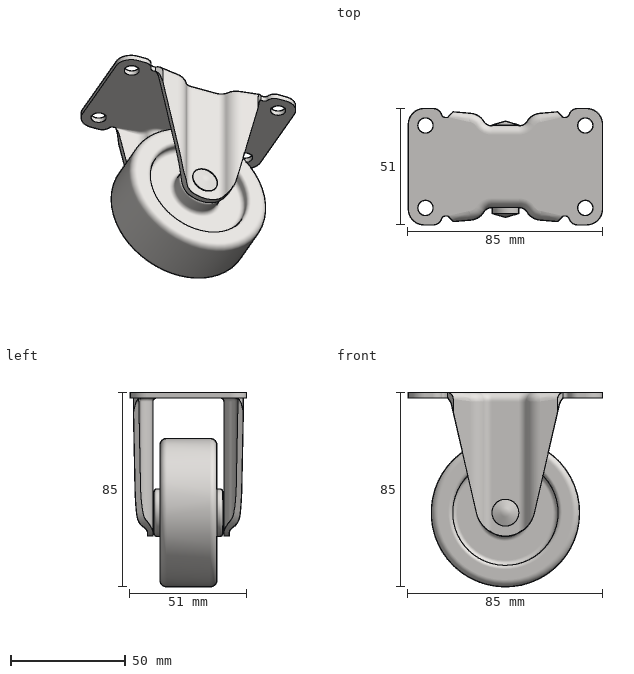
import cadquery as cq
import math


PLATE_LENGTH = 85.0
PLATE_WIDTH = 51.0
SHEET = 2.5
CORNER_RADIUS = 7.05
EAR_RADIUS = 4.0
EAR_END_X = 31.6
RELIEF_RADIUS = 1.5
SCREW_X = 34.9
SCREW_Y = 18.0
SCREW_HOLE_DIAMETER = 6.55

WEB_HALF_WIDTH = 6.0
WEB_INNER_Y = 15.5
WEB_OUTER_Y = WEB_INNER_Y + SHEET
HOLLOW_RADIUS = 4.0
SHOULDER_RADIUS = 7.5
ELBOW_ANGLE = 58.5
WING_ANGLE = 5.0
WING_LENGTH = 9.9

BEND_RADIUS = 4.0
WING_END_BEND_RADIUS = 2.6
LEG_DEPTH = 62.7
LEG_TIP_RADIUS = 13.0
LEG_TAPER_ANGLE = 13.0
FLARE_START_DEPTH = 5.4

AXLE_Z = -52.5
WHEEL_RADIUS = 32.5
WHEEL_WIDTH = 25.0
TREAD_FILLET = 3.0
RECESS_RADIUS = 23.0
RECESS_DEPTH = 5.0
RIM_FILLET = 1.8
FLOOR_FILLET = 2.0
HUB_RADIUS = 10.45
HUB_HALF_LENGTH = 15.05
HUB_EDGE_FILLET = 1.4
SELECT_MARGIN = 0.1

AXLE_RADIUS = 5.9
HEAD_SHOULDER_Y = -20.5
TAIL_SHOULDER_Y = 18.3
CONE_HEIGHT = 1.7


def polar(center, radius, angle):
    """Point at a radius and angle (degrees) from a center in plan."""
    turn = math.radians(angle)
    return (center[0] + radius * math.cos(turn), center[1] + radius * math.sin(turn))


HOLLOW_CENTER = (WEB_HALF_WIDTH, WEB_OUTER_Y + HOLLOW_RADIUS)
HOLLOW_END = ELBOW_ANGLE - 90.0
SHOULDER_CENTER = polar(HOLLOW_CENTER, HOLLOW_RADIUS + SHOULDER_RADIUS, HOLLOW_END)
SHOULDER_START = ELBOW_ANGLE + 90.0
WING_NORMAL = WING_ANGLE + 90.0
WING_START = polar(SHOULDER_CENTER, SHOULDER_RADIUS, WING_NORMAL)
WING_END = polar(WING_START, WING_LENGTH, WING_ANGLE)

FLAT_WEB_Y = WEB_OUTER_Y - BEND_RADIUS
FLAT_HOLLOW_RADIUS = HOLLOW_RADIUS + BEND_RADIUS
FLAT_SHOULDER_RADIUS = SHOULDER_RADIUS - BEND_RADIUS
FLAT_WING_START = polar(WING_START, -BEND_RADIUS, WING_NORMAL)
FLAT_WING_END = polar(WING_END, -WING_END_BEND_RADIUS, WING_NORMAL)


def axle_line_cylinder(radius, length):
    """Cylinder on the axle line, centered between the legs."""
    return cq.Workplane("XZ").center(0, AXLE_Z).circle(radius).extrude(length / 2, both=True).clean()


def mirror_quarters(quarter):
    """One quarter of the bracket joined with its three mirror images."""
    half = quarter.union(quarter.mirror("YZ"))
    return half.union(half.mirror("XZ"))


def vertical_plane(origin, angle):
    """Upright plane whose local X points along the given plan angle and local Y is up."""
    along = polar((0, 0), 1.0, angle)
    return cq.Plane(origin=(*origin, 0), xDir=(*along, 0), normal=(along[1], -along[0], 0))


def leg_section(plane, outer, inward, bend_radius):
    """Bend and wall of the sheet; inward is +1 or -1 along the local X of the plane."""
    inner_radius = bend_radius - SHEET
    bend_x = outer + inward * bend_radius
    diagonal = math.sin(math.radians(45.0))

    def mid_bend(radius):
        return (bend_x - inward * radius * diagonal, radius * diagonal - bend_radius)

    return (
        cq.Workplane(plane)
        .moveTo(bend_x, 0)
        .threePointArc(mid_bend(bend_radius), (outer, -bend_radius))
        .lineTo(outer, -LEG_DEPTH)
        .lineTo(outer + inward * SHEET, -LEG_DEPTH)
        .lineTo(outer + inward * SHEET, -bend_radius)
        .threePointArc(mid_bend(inner_radius), (bend_x, -SHEET))
        .close()
    )


def make_web():
    plane = vertical_plane((0, 0), 90.0)
    return leg_section(plane, WEB_OUTER_Y, -1, BEND_RADIUS).extrude(WEB_HALF_WIDTH)


def make_hollow():
    plane = vertical_plane(HOLLOW_CENTER, -90.0)
    section = leg_section(plane, HOLLOW_RADIUS, 1, BEND_RADIUS)
    return section.revolve(ELBOW_ANGLE, (0, 0), (0, 1))


def make_shoulder():
    plane = vertical_plane(SHOULDER_CENTER, WING_NORMAL)
    section = leg_section(plane, SHOULDER_RADIUS, -1, BEND_RADIUS)
    return section.revolve(SHOULDER_START - WING_NORMAL, (0, 0), (0, 1))


def make_wing():
    """Wall whose bend tightens toward the free end, cut off at 45 degrees in plan."""
    ends = ((WING_START, BEND_RADIUS), (WING_END, WING_END_BEND_RADIUS))
    wires = [
        leg_section(vertical_plane(point, WING_NORMAL), 0, -1, radius).val()
        for point, radius in ends
    ]
    wing = cq.Workplane(cq.Solid.makeLoft(wires, True))
    corner_x, corner_y = FLAT_WING_END
    reach = 2 * BEND_RADIUS
    miter = (
        cq.Workplane("XY")
        .polyline([
            (corner_x + reach, corner_y - reach),
            (corner_x + reach, corner_y + reach),
            (corner_x - reach, corner_y + reach),
        ])
        .close()
        .extrude(-LEG_DEPTH)
    )
    return wing.cut(miter)


def make_leg_outline():
    """Block with the tapered, round-tipped side outline of the legs (+X half)."""
    taper = math.radians(LEG_TAPER_ANGLE)
    tip_z = LEG_TIP_RADIUS - LEG_DEPTH
    side = (LEG_TIP_RADIUS * math.cos(taper), tip_z - LEG_TIP_RADIUS * math.sin(taper))
    mid_angle = math.radians((LEG_TAPER_ANGLE + 90.0) / 2)
    tip_mid = (LEG_TIP_RADIUS * math.cos(mid_angle), tip_z - LEG_TIP_RADIUS * math.sin(mid_angle))
    flare_x = side[0] - (FLARE_START_DEPTH + side[1]) * math.tan(taper)
    return (
        cq.Workplane("XZ")
        .moveTo(0, 0)
        .lineTo(0, -LEG_DEPTH)
        .threePointArc(tip_mid, side)
        .lineTo(flare_x, -FLARE_START_DEPTH)
        .tangentArcPoint((FLAT_WING_END[0], -SHEET), relative=False)
        .lineTo(FLAT_WING_END[0], 0)
        .close()
        .extrude(-PLATE_WIDTH / 2)
    )


def make_plate_quarter():
    """Flat part of the plate up to the bend, with one ear and its screw hole."""
    half_length = PLATE_LENGTH / 2
    half_width = PLATE_WIDTH / 2
    relief_y = FLAT_WING_END[1]
    ear_center = (EAR_END_X, half_width - EAR_RADIUS)
    rise = relief_y + RELIEF_RADIUS - ear_center[1]
    ear_angle = 180.0 - math.degrees(math.asin(rise / (EAR_RADIUS + RELIEF_RADIUS)))
    relief_center = polar(ear_center, EAR_RADIUS + RELIEF_RADIUS, ear_angle)
    relief_mid_angle = (ear_angle - 180.0 - 90.0) / 2
    shoulder_mid = (SHOULDER_START + WING_NORMAL) / 2
    hollow_mid = (HOLLOW_END - 90.0) / 2
    corner_center = (half_length - CORNER_RADIUS, half_width - CORNER_RADIUS)
    screw_hole = (
        cq.Workplane("XY")
        .center(SCREW_X, SCREW_Y)
        .circle(SCREW_HOLE_DIAMETER / 2)
        .extrude(-SHEET)
    )
    return (
        cq.Workplane("XY")
        .moveTo(0, 0)
        .lineTo(half_length, 0)
        .lineTo(half_length, corner_center[1])
        .threePointArc(polar(corner_center, CORNER_RADIUS, 45.0), (corner_center[0], half_width))
        .lineTo(EAR_END_X, half_width)
        .threePointArc(
            polar(ear_center, EAR_RADIUS, (ear_angle + 90.0) / 2),
            polar(ear_center, EAR_RADIUS, ear_angle),
        )
        .threePointArc(
            polar(relief_center, RELIEF_RADIUS, relief_mid_angle),
            (relief_center[0], relief_y),
        )
        .lineTo(*FLAT_WING_END)
        .lineTo(*FLAT_WING_START)
        .threePointArc(
            polar(SHOULDER_CENTER, FLAT_SHOULDER_RADIUS, shoulder_mid),
            polar(SHOULDER_CENTER, FLAT_SHOULDER_RADIUS, SHOULDER_START),
        )
        .threePointArc(
            polar(HOLLOW_CENTER, FLAT_HOLLOW_RADIUS, hollow_mid),
            (WEB_HALF_WIDTH, FLAT_WEB_Y),
        )
        .lineTo(0, FLAT_WEB_Y)
        .close()
        .extrude(-SHEET)
        .cut(screw_hole)
    )


def make_bracket():
    leg_quarter = make_web().union(make_hollow()).union(make_shoulder()).union(make_wing())
    leg_quarter = leg_quarter.intersect(make_leg_outline())
    bracket = mirror_quarters(make_plate_quarter().union(leg_quarter))
    return bracket.cut(axle_line_cylinder(AXLE_RADIUS, PLATE_WIDTH))


def make_wheel():
    tire = axle_line_cylinder(WHEEL_RADIUS, WHEEL_WIDTH).edges().fillet(TREAD_FILLET)
    floor_gap = WHEEL_WIDTH - 2 * RECESS_DEPTH
    recess_core = axle_line_cylinder(RECESS_RADIUS, WHEEL_WIDTH)
    recesses = recess_core.cut(axle_line_cylinder(RECESS_RADIUS, floor_gap))
    rim = tire.cut(recesses)
    for side in (">Y", "<Y"):
        rim = rim.faces(side).edges(cq.selectors.RadiusNthSelector(0)).fillet(RIM_FILLET)
    hub = axle_line_cylinder(HUB_RADIUS, 2 * HUB_HALF_LENGTH).edges().fillet(HUB_EDGE_FILLET)
    wheel = rim.union(hub)
    floor_y = floor_gap / 2
    reach = WHEEL_RADIUS
    for y in (-floor_y, floor_y):
        floor_edges = cq.selectors.BoxSelector(
            (-reach, y - SELECT_MARGIN, AXLE_Z - reach),
            (reach, y + SELECT_MARGIN, AXLE_Z + reach),
        )
        wheel = wheel.edges("%CIRCLE").edges(floor_edges).fillet(FLOOR_FILLET)
    return wheel.cut(axle_line_cylinder(AXLE_RADIUS, 2 * HUB_HALF_LENGTH))


def make_axle():
    """Plain rod with a shallow cone on each end."""
    return (
        cq.Workplane("XY")
        .polyline([
            (0, HEAD_SHOULDER_Y - CONE_HEIGHT),
            (AXLE_RADIUS, HEAD_SHOULDER_Y),
            (AXLE_RADIUS, TAIL_SHOULDER_Y),
            (0, TAIL_SHOULDER_Y + CONE_HEIGHT),
        ])
        .close()
        .revolve(360.0, (0, 0), (0, 1))
        .translate((0, 0, AXLE_Z))
    )


bracket = make_bracket()
wheel = make_wheel()
axle = make_axle()

result = cq.Compound.makeCompound([bracket.solids().val(), wheel.solids().val(), axle.val()])